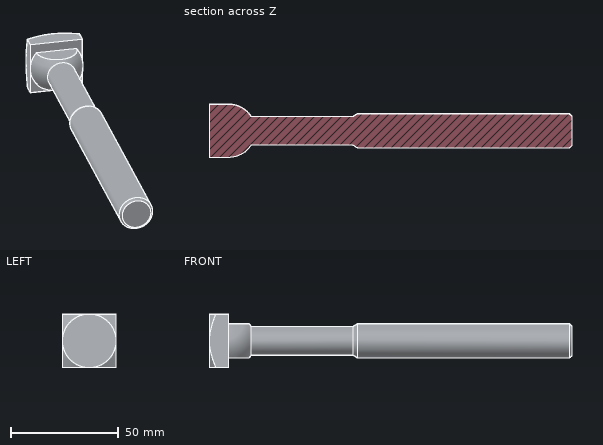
import cadquery as cq
import math

length = 169.0
head_width = 25.0
head_thickness = 9.0
head_cone_angle = 30.0

neck_diameter = 13.5
shank_diameter = 16.0
shank_start = 67.0
shank_lead_length = 2.0
end_chamfer = 1.2

head_radius = head_width / 2
neck_radius = neck_diameter / 2
shank_radius = shank_diameter / 2


def make_head():
    """Square plate whose front corners are trimmed by a cone."""
    plate = cq.Workplane("YZ").rect(head_width, head_width).extrude(head_thickness)
    cone_radius = head_radius + head_thickness / math.tan(math.radians(head_cone_angle))
    corner_cone = (
        cq.Workplane("XY")
        .polyline([(0, 0), (0, head_radius), (head_thickness, cone_radius), (head_thickness, 0)])
        .close()
        .revolve(360, (0, 0, 0), (1, 0, 0))
    )
    return plate.intersect(corner_cone)


def make_dome():
    """Half ball behind the head, flattened above and below to the shank diameter."""
    ball = cq.Workplane("YZ").sphere(head_radius).translate((head_thickness, 0, 0))
    slab = (
        cq.Workplane("XY")
        .box(head_radius, head_width, shank_diameter, centered=(False, True, True))
        .translate((head_thickness, 0, 0))
    )
    return ball.intersect(slab)


def make_shaft():
    """Slim neck, conical lead and thicker shank with a chamfered end."""
    profile = [
        (head_thickness, 0),
        (head_thickness, neck_radius),
        (shank_start, neck_radius),
        (shank_start + shank_lead_length, shank_radius),
        (length - end_chamfer, shank_radius),
        (length, shank_radius - end_chamfer),
        (length, 0),
    ]
    return cq.Workplane("XY").polyline(profile).close().revolve(360, (0, 0, 0), (1, 0, 0))


result = make_head().union(make_dome()).union(make_shaft())